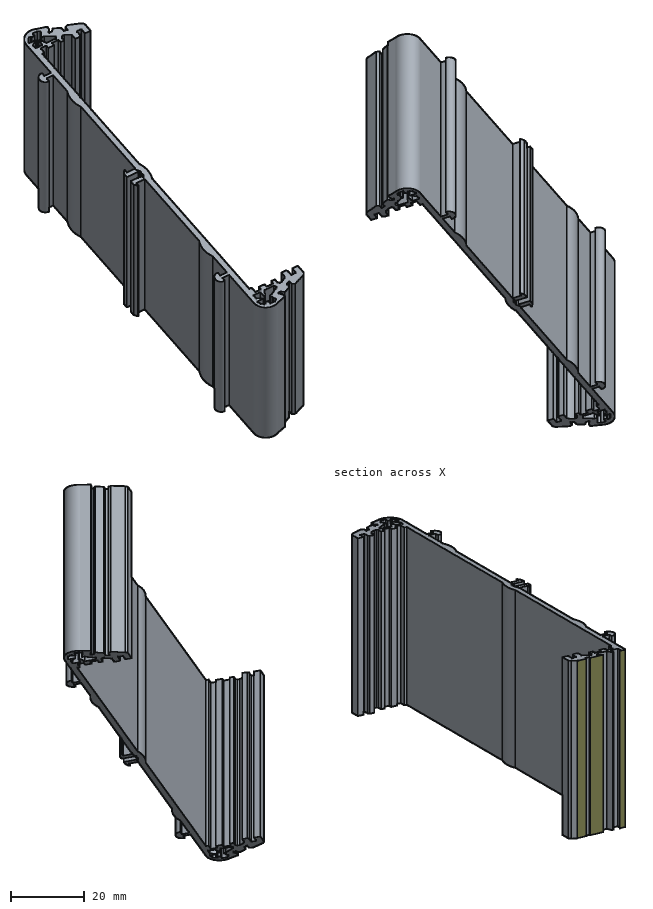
import cadquery as cq
import math

WIDTH = 121.78
DEPTH = 21.6
LENGTH = 52.0
HALF_WIDTH = WIDTH / 2

PLATE_THICKNESS = 1.85
STUD_TIP = -4.05
WALL_TOP = DEPTH + STUD_TIP
CORNER_RADIUS = 3.9
CORNER_START = 27

WALL_INNER = 7.05
LEDGE_INNER = 8.95
LEDGE_TOP = 2.6
RIB_TIP = 8.1
LOWER_RIB = (4.4, 6.25)
UPPER_RIB = (8.35, 9.55)
LIP_TIP = 8.95
LIP_BOTTOM = 15.7
FINGER_TIP = 9.25
FINGER = (12.4, 14.25)
FINGER_CHAMFER = 0.4
BAR_OVERLAP = 0.2

CAVITY_INNER = 6.25
CAVITY_BOTTOM = 1.45
FIN_TIP = 4.3

STUD_X = 44.1
STUD_STEM = 1.1
STUD_HEAD_RADIUS = 1.83
STUD_HEAD_TOP = -2.12
STUD_LAND_END = -2.55
PAD_X = 33.05
PAD_WIDTH = 6.8
PAD_HEIGHT = 0.75
CROWN_WIDTH = 6.6
CROWN_HEIGHT = 0.65
RAIL_OUTER = 2.35
RAIL_INNER = 0.9
RAIL_TIP = -3.65
FOOT_OUTER = 3.45
FOOT_TOP = -2.7
FOOT_EDGE = -2.95
FOOT_FLAT = 2.4
GROOVE_HALF_WIDTH = 1.8
GROOVE_ROOF = 0.55
NUB_HALF_WIDTH = 0.3
NUB_DROP = 0.3


def box(x_min, x_max, y_min, y_max):
    """A full-length bar with a rectangular section."""
    bar = cq.Workplane("XY").rect(x_max - x_min, y_max - y_min).extrude(LENGTH)
    return bar.translate(((x_min + x_max) / 2, (y_min + y_max) / 2, 0))


def from_side(points):
    """Shift points measured from the part's outermost -X side to section coordinates."""
    return [(x - HALF_WIDTH, y) for x, y in points]


def corner_point(angle):
    """Point on the rounded outer corner, at an angle in degrees above the -X direction."""
    turn = math.radians(angle)
    x = CORNER_RADIUS * (1 - math.cos(turn)) - HALF_WIDTH
    y = CORNER_RADIUS * (1 + math.sin(turn))
    return x, y


def wall_body():
    """The side wall without its ribs: rounded corner, inner face, concave throat, outer face."""
    inner = [
        (LEDGE_INNER, 0),
        (LEDGE_INNER, LEDGE_TOP),
        (WALL_INNER, LEDGE_TOP),
        (WALL_INNER, UPPER_RIB[1]),
        (6.75, UPPER_RIB[1]),
        (6.35, 10.0),
        (6.35, 10.6),
    ]
    throat = [(6.75, 11.5), (7.5, FINGER[0])]
    outer_top = [
        (WALL_INNER, FINGER[0]),
        (WALL_INNER, WALL_TOP),
        (5.9, WALL_TOP),
        (5.25, 17.0),
        (3.75, 13.4),
        (4.1, 12.5),
    ]
    latch_notch = [
        (5.35, 12.5),
        (4.95, 11.4),
        (3.75, 11.4),
        (3.45, 11.0),
    ]
    slanted_slot = [
        (2.6, 9.3),
        (3.45, 8.5),
        (3.45, 7.7),
        (3.1, 7.65),
        (2.4, 8.35),
        (1.25, 8.45),
    ]
    wire = cq.Workplane("XY").moveTo(*corner_point(CORNER_START))
    wire = wire.threePointArc(corner_point(-45), corner_point(-90))
    for point in from_side(inner):
        wire = wire.lineTo(*point)
    wire = wire.threePointArc(*from_side(throat))
    for point in from_side(outer_top + latch_notch + slanted_slot):
        wire = wire.lineTo(*point)
    return wire.close().extrude(LENGTH)


def wall_bars():
    """Ribs, finger and lip on the inner face of the side wall."""
    inner = WALL_INNER - BAR_OVERLAP - HALF_WIDTH
    bars = box(inner, LIP_TIP - HALF_WIDTH, LIP_BOTTOM, WALL_TOP)
    for bottom, top in (LOWER_RIB, UPPER_RIB):
        bars = bars.union(box(inner, RIB_TIP - HALF_WIDTH, bottom, top))
    finger = box(inner, FINGER_TIP - HALF_WIDTH, *FINGER).edges("|Z and >X and >Y").chamfer(FINGER_CHAMFER)
    return bars.union(finger)


def cavity():
    """The hollow in the wall's foot: three pockets that meet at a screw channel."""
    lower_pocket = [
        (3.75, 3.05),
        (4.3, 2.4),
        (4.9, CAVITY_BOTTOM),
        (CAVITY_INNER, CAVITY_BOTTOM),
    ]
    pointed_fin = [
        (CAVITY_INNER, 3.65),
        (FIN_TIP, 3.75),
        (FIN_TIP, 4.05),
        (5.2, 4.5),
        (CAVITY_INNER, 5.0),
    ]
    upper_pocket = [
        (CAVITY_INNER, 8.05),
        (5.85, 8.4),
        (5.45, 8.4),
        (3.85, 5.8),
    ]
    outer_pocket = [
        (3.8, 5.1),
        (3.4, 5.1),
        (3.0, 5.45),
        (2.5, 5.45),
        (2.2, 5.85),
        (1.75, 5.85),
        (1.25, 5.2),
        (1.25, 3.7),
        (2.35, 3.7),
        (2.35, 2.8),
        (1.95, 2.7),
        (1.95, 2.1),
        (2.5, CAVITY_BOTTOM),
        (3.4, 1.1),
        (3.75, 1.1),
    ]
    points = lower_pocket + pointed_fin + upper_pocket + outer_pocket
    return cq.Workplane("XY").polyline(from_side(points)).close().extrude(LENGTH)


def stud():
    """The -X stud: a thin stem with a round head, its outer flank cut short by a flat land."""
    center_y = STUD_TIP + STUD_HEAD_RADIUS
    land_x = -math.sqrt(STUD_HEAD_RADIUS**2 - (STUD_LAND_END - center_y) ** 2)
    inner_x = math.sqrt(STUD_HEAD_RADIUS**2 - (STUD_HEAD_TOP - center_y) ** 2)
    head = (
        cq.Workplane("XY")
        .moveTo(land_x, STUD_HEAD_TOP)
        .lineTo(land_x, STUD_LAND_END)
        .threePointArc((0, STUD_TIP), (inner_x, STUD_HEAD_TOP))
        .close()
        .extrude(LENGTH)
    )
    stem = box(-STUD_STEM / 2, STUD_STEM / 2, STUD_HEAD_TOP, PLATE_THICKNESS / 2)
    return head.union(stem).translate((-STUD_X, 0, 0))


def swell(x, y, width, rise):
    """A shallow arched swelling on a plate face; a negative rise points it outward (-Y)."""
    return (
        cq.Workplane("XY")
        .moveTo(x - width / 2, y)
        .threePointArc((x, y + rise), (x + width / 2, y))
        .close()
        .extrude(LENGTH)
    )


def rail_leg():
    """Left leg of the middle rail, with its outward foot."""
    points = [
        (-RAIL_INNER, PLATE_THICKNESS / 2),
        (-RAIL_INNER, RAIL_TIP),
        (-FOOT_FLAT, RAIL_TIP),
        (-FOOT_OUTER, FOOT_EDGE),
        (-FOOT_OUTER, FOOT_TOP),
        (-RAIL_OUTER, FOOT_TOP),
        (-RAIL_OUTER, PLATE_THICKNESS / 2),
    ]
    return cq.Workplane("XY").polyline(points).close().extrude(LENGTH)


def rail_groove():
    """Left half of the undercut groove between the rail legs, with half of its middle nub."""
    points = [
        (0, GROOVE_ROOF - NUB_DROP),
        (-NUB_HALF_WIDTH, GROOVE_ROOF - NUB_DROP),
        (-NUB_HALF_WIDTH, GROOVE_ROOF),
        (-RAIL_INNER, GROOVE_ROOF),
        (-GROOVE_HALF_WIDTH, 0),
        (-RAIL_INNER, 0),
        (-RAIL_INNER, RAIL_TIP),
        (0, RAIL_TIP),
    ]
    return cq.Workplane("XY").polyline(points).close().extrude(LENGTH)


plate_edge = LEDGE_INNER - HALF_WIDTH
half = wall_body().union(wall_bars()).cut(cavity())
half = half.union(box(plate_edge, 0, 0, PLATE_THICKNESS))
half = half.union(stud()).union(rail_leg())
half = half.union(swell(-PAD_X, 0, PAD_WIDTH, -PAD_HEIGHT))
result = half.union(half.mirror("YZ"))
result = result.union(swell(0, PLATE_THICKNESS, CROWN_WIDTH, CROWN_HEIGHT))
result = result.cut(rail_groove()).cut(rail_groove().mirror("YZ"))